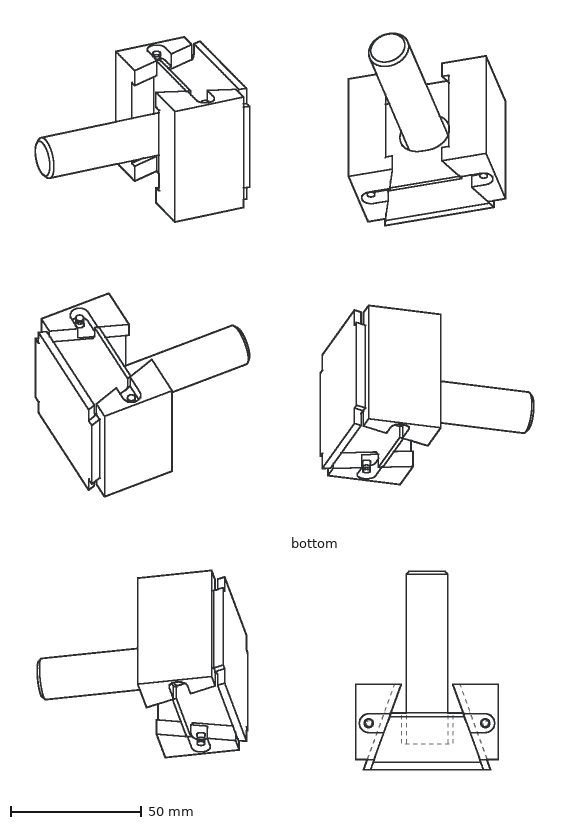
import cadquery as cq
import math


height = 48.0
half_height = height / 2
taper = math.tan(math.radians(20))
tongue_height = 35.0
tongue_depth = 2.75
side_clearance = 0.12

clamp_width = 54.8
jaw_back_y = -4.0
jaw_front_y = -33.0
mouth_half_width = 9.85

wedge_depth = 22.0
back_lip = 3.0
front_lip = 1.6
root_radius = 1.9
bolt_slot_length = 19.7
bolt_slot_width = 17.0
bolt_slot_depth = 12.0

bolt_diameter = 16.0
total_depth = 76.5
bolt_chamfer = 1.2

pin_x = 22.4
pin_y = -18.0
pocket_width = 7.2
pocket_depth = 5.5
pin_diameter = 3.0
pin_hole_diameter = 3.4
pin_hole_depth = 6.0
pin_rim_above_floor = 3.9
dome_height = 0.45
groove_below_rim = 0.9
groove_radius = 0.5


def jaw_face_x(y):
    """Half width between the slanted inner jaw faces at depth y."""
    return mouth_half_width + (y - jaw_front_y) * taper


def tapered_prism(y_front, y_back, offset, z_size):
    """Symmetric prism that follows the jaw faces, moved outward by offset along X."""
    front_x = jaw_face_x(y_front) + offset
    back_x = jaw_face_x(y_back) + offset
    return (
        cq.Workplane("XY")
        .polyline([(-front_x, y_front), (front_x, y_front), (back_x, y_back), (-back_x, y_back)])
        .close()
        .extrude(z_size / 2, both=True)
    )


def make_wedge():
    body = tapered_prism(-wedge_depth, 0, -side_clearance, height)

    trough_length = wedge_depth - back_lip - front_lip
    trough_height = (height - tongue_height) / 2
    trough_y = -(back_lip + trough_length / 2)
    for trough_z in (half_height, -half_height):
        trough = (
            cq.Workplane("XY")
            .box(clamp_width, trough_length, 2 * trough_height)
            .edges("|X")
            .fillet(root_radius)
            .translate((0, trough_y, trough_z))
        )
        body = body.cut(trough)

    body = body.union(tapered_prism(-wedge_depth, 0, tongue_depth - side_clearance, tongue_height))

    bolt_slot = (
        cq.Workplane("XZ")
        .workplane(offset=wedge_depth - bolt_slot_depth)
        .slot2D(bolt_slot_length, bolt_slot_width)
        .extrude(bolt_slot_depth)
    )
    return body.cut(bolt_slot)


def make_bolt():
    seat_depth = wedge_depth - bolt_slot_depth
    return (
        cq.Workplane("XZ")
        .workplane(offset=seat_depth)
        .circle(bolt_diameter / 2)
        .extrude(total_depth - seat_depth)
        .faces("<Y")
        .chamfer(bolt_chamfer)
    )


def make_pin():
    """Pin for the upper right pocket: domed tip with a round spring groove below it."""
    radius = pin_diameter / 2
    groove_top_z = pin_rim_above_floor - groove_below_rim
    groove_z = groove_top_z - groove_radius
    sphere_radius = (radius**2 + dome_height**2) / (2 * dome_height)
    half_angle = math.asin(radius / sphere_radius) / 2
    dome_top_z = pin_rim_above_floor + dome_height
    dome_mid = (
        sphere_radius * math.sin(half_angle),
        dome_top_z - sphere_radius * (1 - math.cos(half_angle)),
    )
    return (
        cq.Workplane("XZ")
        .moveTo(0, -pin_hole_depth)
        .lineTo(radius, -pin_hole_depth)
        .lineTo(radius, groove_z - groove_radius)
        .threePointArc((radius - groove_radius, groove_z), (radius, groove_top_z))
        .lineTo(radius, pin_rim_above_floor)
        .threePointArc(dome_mid, (0, dome_top_z))
        .close()
        .revolve(360, (0, 0, 0), (0, 1, 0))
        .translate((pin_x, pin_y, half_height - pocket_depth))
    )


def make_pocket():
    """Pocket and pin hole at the top of the right jaw, open towards the wedge."""
    floor_z = half_height - pocket_depth
    pocket = (
        cq.Workplane("XY")
        .workplane(offset=floor_z)
        .center(pin_x / 2, pin_y)
        .slot2D(pin_x + pocket_width, pocket_width)
        .extrude(pocket_depth)
    )
    pin_hole = (
        cq.Workplane("XY")
        .workplane(offset=floor_z - pin_hole_depth)
        .center(pin_x, pin_y)
        .circle(pin_hole_diameter / 2)
        .extrude(pin_hole_depth)
    )
    return pocket.union(pin_hole)


def make_right_jaw():
    outer_x = clamp_width / 2
    body = (
        cq.Workplane("XY")
        .polyline([
            (outer_x, jaw_front_y),
            (outer_x, jaw_back_y),
            (jaw_face_x(jaw_back_y), jaw_back_y),
            (jaw_face_x(jaw_front_y), jaw_front_y),
        ])
        .close()
        .extrude(half_height, both=True)
    )
    groove = tapered_prism(jaw_front_y, jaw_back_y, tongue_depth, tongue_height)
    pocket = make_pocket()
    return body.cut(groove).cut(pocket).cut(pocket.mirror("XY"))


wedge = make_wedge()
bolt = make_bolt()

right_jaw = make_right_jaw()
jaws = [right_jaw, right_jaw.mirror("YZ")]

pins = []
for upper_pin in (make_pin(), make_pin().mirror("YZ")):
    pins.append(upper_pin)
    pins.append(upper_pin.mirror("XY"))

bodies = [wedge, bolt, *jaws, *pins]
result = cq.Compound.makeCompound([body.val() for body in bodies])